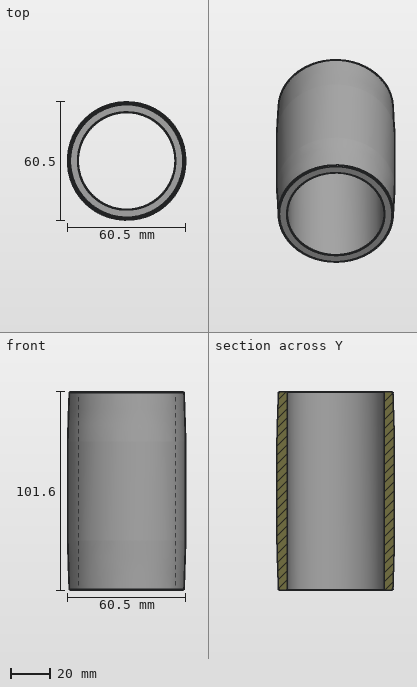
import cadquery as cq

length = 101.6
outer_diameter = 60.5
bore_diameter = 49.6

taper_length = 25.4
taper_ratio = 1 / 16

outer_chamfer = 0.6
bore_chamfer = 0.3

outer_radius = outer_diameter / 2
bore_radius = bore_diameter / 2
end_radius = outer_radius - taper_length * taper_ratio / 2
half_length = length / 2
taper_start = half_length - taper_length

upper_corners = [
    (outer_radius, taper_start),
    (end_radius, half_length - outer_chamfer),
    (end_radius - outer_chamfer, half_length),
    (bore_radius + bore_chamfer, half_length),
    (bore_radius, half_length - bore_chamfer),
]

lower_corners = [(radius, -height) for radius, height in reversed(upper_corners)]

wall_section = cq.Workplane("XZ").polyline(upper_corners + lower_corners).close()
result = wall_section.revolve(360, (0, 0, 0), (0, 1, 0))